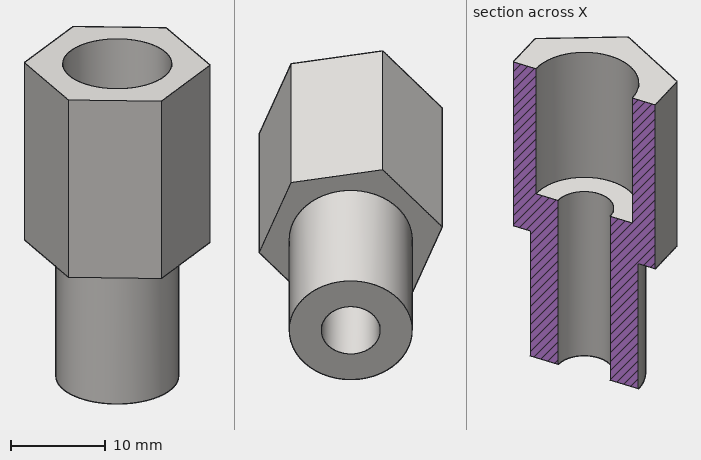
import cadquery as cq
import math

total_length = 37.0
shank_length = 16.0
across_flats = 17.0
shank_diameter = 13.0
socket_diameter = 11.5
bore_diameter = 6.2
socket_depth = shank_length

hex_length = total_length - shank_length
across_corners = across_flats / math.cos(math.radians(30))


def make_shank():
    """Round shank standing on the XY plane."""
    return cq.Workplane("XY").circle(shank_diameter / 2).extrude(shank_length)


def make_hex_body():
    """Hexagonal body on top of the shank, with corners on the X axis."""
    return (
        cq.Workplane("XY", origin=(0, 0, shank_length))
        .polygon(6, across_corners)
        .extrude(hex_length)
    )


def make_through_bore():
    """Narrow bore along the full length."""
    return cq.Workplane("XY").circle(bore_diameter / 2).extrude(total_length)


def make_socket():
    """Wide flat-bottomed socket, open at the top of the hexagon."""
    return (
        cq.Workplane("XY", origin=(0, 0, total_length))
        .circle(socket_diameter / 2)
        .extrude(-socket_depth)
    )


body = make_shank().union(make_hex_body())
result = body.cut(make_through_bore()).cut(make_socket())